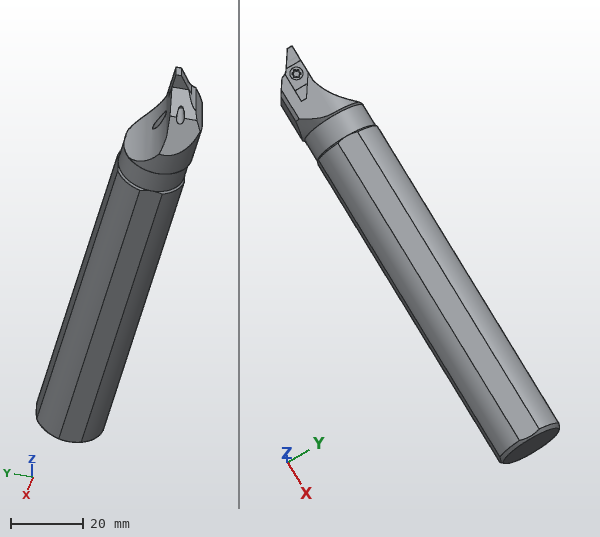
import cadquery as cq
import math


tool_length = 130.0
bar_radius = 10.0
flat_distance = 9.5
neck_start = 22.9
shank_start = 29.8
end_chamfer = 1.0
head_chamfer = 1.0
top = bar_radius

flank_angle = 34.0
tip_width = 1.5
flank_end_x = 5.0
side_start = (6.5, -7.2)
gullet_start_x = 11.5
gullet_middle = (18.1, 3.2)

front_angle = 15.0
front_corner = (7.3, -2.2)

insert_thickness = 3.1
insert_side_y = -5.8
insert_back_x = 8.7
insert_end_x = 15.0
tail_start_x = 11.5
step_depth = 0.06
groove_start_x = 3.2
groove_floor_x = 3.8
groove_end_x = 4.8

screw_x = 7.4
screw_y = -3.0
screw_head_radius = 1.8
screw_radius = 1.1
screw_head_height = 1.3
screw_bottom = 2.6
screw_tip_chamfer = 0.3
socket_radius = 0.9
lobe_radius = 0.32
lobe_count = 6
socket_depth = 1.2

coolant_radius = 1.3
coolant_mouth = (16.9, 1.3, 2.5)
coolant_depth = 20.8
coolant_angle = 15.0

flank_slope = math.tan(math.radians(flank_angle))
seat_z = top - insert_thickness


def extrude_z(outline, z_low, z_high):
    return outline.extrude(z_high - z_low).translate((0, 0, z_low))


def revolve_about_x(points):
    return cq.Workplane("XY").polyline(points).close().revolve(360, (0, 0, 0), (1, 0, 0))


def make_shank():
    rise = bar_radius - flat_distance
    turned = revolve_about_x([
        (shank_start, 0),
        (shank_start, flat_distance),
        (shank_start + rise, bar_radius),
        (tool_length - end_chamfer, bar_radius),
        (tool_length, bar_radius - end_chamfer),
        (tool_length, 0),
    ])
    flats = cq.Workplane("YZ").rect(2 * flat_distance, 2 * flat_distance).extrude(tool_length)
    return turned.intersect(flats)


def make_neck():
    neck_length = shank_start - neck_start
    return cq.Workplane("YZ", origin=(neck_start, 0, 0)).circle(flat_distance).extrude(neck_length)


def make_head_bar():
    round_part = cq.Workplane("YZ").circle(bar_radius).extrude(neck_start)
    square_part = (
        cq.Workplane("YZ")
        .moveTo(0, 0)
        .lineTo(-bar_radius, 0)
        .lineTo(-bar_radius, top - head_chamfer)
        .lineTo(-bar_radius + head_chamfer, top)
        .lineTo(0, top)
        .close()
        .extrude(neck_start)
    )
    back_cone = revolve_about_x([
        (0, 0),
        (0, flat_distance + neck_start),
        (neck_start, flat_distance),
        (neck_start, 0),
    ])
    return round_part.union(square_part).intersect(back_cone)


def make_head_plan():
    """Region of the head seen along Z: flank, relief and side face on -Y, chip gullet on +Y."""
    flank_end_y = -tip_width - flank_end_x * flank_slope
    side_end_x = side_start[0] + (bar_radius + side_start[1]) / flank_slope
    outline = (
        cq.Workplane("XY")
        .moveTo(0, 0)
        .lineTo(0, -tip_width)
        .lineTo(flank_end_x, flank_end_y)
        .tangentArcPoint(side_start, relative=False)
        .lineTo(side_end_x, -bar_radius)
        .lineTo(neck_start, -bar_radius)
        .lineTo(neck_start, flat_distance)
        .threePointArc(gullet_middle, (gullet_start_x, 0))
        .close()
    )
    return extrude_z(outline, -bar_radius, top)


def make_head_side():
    """Region of the head seen along Y: leaning front face and 45 degree underside."""
    corner_x, corner_z = front_corner
    front_top_x = corner_x - (top - corner_z) * math.tan(math.radians(front_angle))
    underside_end_x = corner_x + corner_z + bar_radius
    return (
        cq.Workplane("XZ")
        .moveTo(front_top_x, top)
        .lineTo(corner_x, corner_z)
        .lineTo(underside_end_x, -bar_radius)
        .lineTo(neck_start, -bar_radius)
        .lineTo(neck_start, top)
        .close()
        .extrude(bar_radius, both=True)
    )


def make_insert_blank():
    """Insert before the screw hole and the shallow steps in its top face."""
    back_corner_y = (insert_back_x - insert_end_x) * flank_slope
    outline = (
        cq.Workplane("XY")
        .moveTo(0, 0)
        .lineTo(0, insert_side_y)
        .lineTo(insert_end_x, insert_side_y)
        .lineTo(insert_end_x, back_corner_y)
        .lineTo(insert_back_x, 0)
        .close()
    )
    return extrude_z(outline, seat_z, top).intersect(make_head_plan())


def make_screw_blank():
    profile = (
        cq.Workplane("XZ")
        .polyline([
            (0, screw_bottom),
            (screw_radius - screw_tip_chamfer, screw_bottom),
            (screw_radius, screw_bottom + screw_tip_chamfer),
            (screw_radius, top - screw_head_height),
            (screw_head_radius, top),
            (0, top),
        ])
        .close()
    )
    return profile.revolve(360, (0, 0, 0), (0, 1, 0)).translate((screw_x, screw_y, 0))


def make_screw():
    socket_floor = top - socket_depth
    center = (screw_x, screw_y, socket_floor)
    socket = cq.Workplane("XY", origin=center).circle(socket_radius).extrude(socket_depth)
    lobes = (
        cq.Workplane("XY", origin=center)
        .polarArray(socket_radius, 0, 360, lobe_count)
        .circle(lobe_radius)
        .extrude(socket_depth)
    )
    return make_screw_blank().cut(socket.union(lobes))


def make_insert():
    groove = (
        cq.Workplane("XZ")
        .polyline([
            (groove_start_x, top),
            (groove_floor_x, top - step_depth),
            (groove_end_x, top - step_depth),
            (groove_end_x, top),
        ])
        .close()
        .extrude(bar_radius, both=True)
    )
    tail_length = insert_end_x - tail_start_x
    tail_middle = ((tail_start_x + insert_end_x) / 2, 0)
    tail_step = extrude_z(
        cq.Workplane("XY").center(*tail_middle).rect(tail_length, 2 * bar_radius),
        top - step_depth,
        top,
    )
    return make_insert_blank().cut(groove).cut(tail_step).cut(make_screw_blank())


def make_coolant_hole():
    """Blind hole that runs from the chip gullet back and down into the bar."""
    angle = math.radians(coolant_angle)
    direction = cq.Vector(math.cos(angle), 0, -math.sin(angle))
    mouth = cq.Vector(*coolant_mouth)
    lead_in = direction * (coolant_mouth[0] - gullet_start_x)
    length = coolant_depth + lead_in.Length
    return cq.Workplane(cq.Solid.makeCylinder(coolant_radius, length, mouth - lead_in, direction))


def make_holder():
    head = make_head_bar().intersect(make_head_plan()).intersect(make_head_side())
    screw_hole = extrude_z(
        cq.Workplane("XY").center(screw_x, screw_y).circle(screw_radius),
        -bar_radius,
        top,
    )
    bar = head.union(make_neck()).union(make_shank())
    return bar.cut(make_coolant_hole()).cut(make_insert_blank()).cut(screw_hole)


holder = make_holder()
insert = make_insert()
screw = make_screw()

result = cq.Compound.makeCompound([holder.val(), insert.val(), screw.val()])